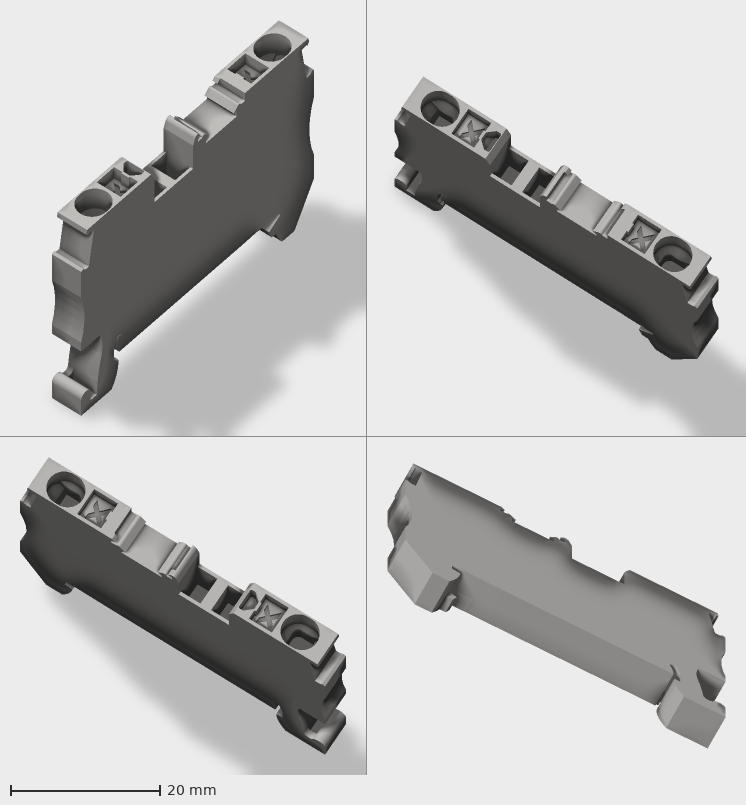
import cadquery as cq
import math

THICKNESS = 5.15
LENGTH = 48.6
HEIGHT = 35.25

HALF_X = THICKNESS / 2
END_Y = LENGTH / 2

LIP_Y = END_Y - 1.2
LIP_BULGE_Y = LIP_Y + 0.15
LIP_BULGE_Z = HEIGHT - 0.85
LIP_TIP_Y = LIP_Y - 0.25
LIP_TIP_Z = HEIGHT - 1.3
LIP_ROOT_Y = LIP_Y - 0.45
LIP_ROOT_Z = HEIGHT - 1.0
NECK_TOP_Y = END_Y - 2.62
NECK_TOP_Z = HEIGHT - 1.15
NECK_FOOT_Y = END_Y - 1.6
SHOULDER_Z = 27.8
SHOULDER_INNER_Y = END_Y - 1.2
SHOULDER_MID_Y = END_Y - 0.8
SHOULDER_MID_Z = SHOULDER_Z + 0.1
SHOULDER_TIP_Y = END_Y - 0.45
SHOULDER_TIP_Z = SHOULDER_Z + 0.5
SHOULDER_EDGE_Z = SHOULDER_Z + 0.25
GRIP_TOP_Z = 23.0

GROOVE_STEP_Z = HEIGHT - 1.5
GROOVE_WALL_Y = 9.85
GROOVE_FLOOR_Z = 32.1
GROOVE_LEFT_Y = 8.1
GROOVE_RIGHT_Y = 1.75
TOOTH_TOP_Z = GROOVE_STEP_Z + 0.35
TOOTH_TIP_Z = GROOVE_STEP_Z - 0.6
TOOTH_REACH = 0.6
LEFT_TOOTH_BACK_Y = GROOVE_LEFT_Y + 0.9
LEFT_TOOTH_CROWN_START = (GROOVE_LEFT_Y + 0.75, TOOTH_TOP_Z - 0.1)
LEFT_TOOTH_CROWN = (GROOVE_LEFT_Y + 0.5, TOOTH_TOP_Z)
LEFT_TOOTH_CROWN_END = (GROOVE_LEFT_Y + 0.25, TOOTH_TOP_Z - 0.1)
RIGHT_TOOTH_CROWN_START = (GROOVE_RIGHT_Y - 0.25, TOOTH_TOP_Z - 0.05)
RIGHT_TOOTH_CROWN = (GROOVE_RIGHT_Y - 0.55, TOOTH_TOP_Z)
RIGHT_TOOTH_BACK_Y = GROOVE_RIGHT_Y - 0.8
RIDGE_WALL_Y = 0.1
CATCH_Z = HEIGHT - 0.6
CATCH_REACH = 0.65
CATCH_TOP_REACH = 0.2
CATCH_WIDTH = 0.87

CHANNEL_FAR_Y = -0.95
CHANNEL_NEAR_Y = -9.0
CHANNEL_FLOOR_Z = 29.25
CHANNEL_FLARE = 0.75

RIDGE_TOP_Y = -0.15
RIDGE_ROLL_MID = (-0.4, HEIGHT - 0.15)
RIDGE_ROLL_END = (-0.6, HEIGHT - 0.45)

NEAR_GRIP_MID = (-END_Y + 0.7, 18.65)
NEAR_GRIP_BOTTOM_Z = 14.3
FAR_GRIP_MID = (END_Y - 1.0, 17.2)
FAR_GRIP_BOTTOM_Z = 11.4

STEP_Z = 12.55
LATCH_ROOT_Y = -20.15
FLANK_UPPER_MID = (-19.9, 10.5)
FLANK_JOINT = (-20.0, 8.6)
FLANK_LOWER_MID = (-20.55, 6.1)
VALLEY_START = (-20.9, 3.75)
VALLEY_BOTTOM = (-21.65, 3.0)
VALLEY_END = (-22.4, 3.45)
HOOK_TOP = (-23.45, 4.0)
HOOK_END_Z = 3.0
HOOK_WEB = 0.95
HOOK_POCKET_Z = 1.45
HOOK_POCKET_INNER_Y = -21.05
LATCH_TOE_Y = -18.0
LEAD_IN_MID = (-16.9, 2.1)
LATCH_NOSE = (-16.5, 4.65)

SLOT_OUTER_Y = -17.5
SLOT_BEND_Z = 6.6
SLOT_OUTER_MID = (-17.3, 7.82)
SLOT_OUTER_TOP = (-16.85, 9.0)
SLOT_CROWN = (-16.35, 9.25)
SLOT_INNER_TOP = (-15.8, 8.85)
SLOT_INNER_MID = (-16.25, 7.5)
SLOT_MOUTH_Y = -16.4

BASE_Z = 6.08
RELIEF_START_Y = 9.5
RELIEF_END_Y = 15.75
RELIEF_Z = BASE_Z + 0.17
FOOT_INNER_Y = 17.2
FOOT_LEDGE_Z = 4.85
FOOT_NOSE = (15.95, 4.6)
FOOT_CURVE_MID = (16.48, 2.35)
FOOT_TOE_INNER_Y = 17.6
FOOT_TOE_OUTER_Y = 20.15
FOOT_BEVEL_Z = 7.05

BACK_LAYER_X = 0.5
PAD_START_Y = 12.45
PAD_END_Y = 15.15
PAD_OVERLAP = 0.5
TONGUE_OUTLINE = [
    (FOOT_INNER_Y, 5.55),
    (14.85, 4.05),
    (15.45, 2.6),
    (16.45, 2.6),
    (16.75, 4.35),
    (FOOT_INNER_Y, 4.35),
]
SLOT_FILLER_OUTLINE = [
    (-15.7, 8.85),
    (-16.35, 9.2),
    (-16.75, 9.0),
    (-16.8, 6.7),
    (-16.3, 6.5),
    (-15.7, 6.5),
]
LATCH_WEDGE_OUTLINE = [
    (-17.6, 5.85),
    (-17.4, 5.25),
    (-16.95, 4.95),
    (-16.95, 4.55),
    (-17.6, 4.55),
]

ENTRY_RADIUS = 2.4
ENTRY_CENTRE_Y = 18.65
ENTRY_LENGTH = 5.35
MOUTH_DEPTH = 3.9
CONE_DEPTH = 1.95
CONE_INSET = 1.35
THROAT_DEPTH = 7.8
THROAT_LEFT_X = -1.3
THROAT_RIGHT_X = 1.7
THROAT_INNER_Y = 16.9
THROAT_OUTER_Y = 20.0
THROAT_FLOOR_Y = 19.65
THROAT_CORNER = 0.95

POCKET_WIDTH = 4.2
ACTUATOR_FAR_INNER_Y = 11.7
ACTUATOR_NEAR_INNER_Y = 11.85
ACTUATOR_OUTER_Y = 15.5
CROSS_CENTRE_Y = 13.6
ACTUATOR_DEPTH = 2.2
NIB_HALF_WIDTH = 0.7
NIB_REACH = 0.25
CROSS_HALF_WIDTH = 1.65
CROSS_HALF_LENGTH = 1.1
CROSS_ARM = 1.0
CROSS_WAIST = 0.5
CROSS_NOTCH = 0.55
CROSS_DEPTH = 0.5

BRIDGE_POCKET_LENGTH = 3.15
BRIDGE_POCKET_DEPTH = 7.3

PROBE_TOP_Y = -9.8
PROBE_SHOULDER_Y = -10.6
PROBE_RAMP_Y = -10.9
PROBE_TIP_Y = -11.7
PROBE_HALF_WIDTH = 1.55
PROBE_TIP_HALF_WIDTH = 0.6
PROBE_CORNER = 0.25
PROBE_DEPTH = 2.9
PROBE_RAMP_DEPTH = 1.95


def plate(outline, left_x, right_x):
    """Extrude a closed (Y, Z) outline from left_x to right_x."""
    return outline.close().extrude(right_x - left_x).translate((left_x, 0, 0))


def yz_polygon(points, left_x, right_x):
    return plate(cq.Workplane("YZ").polyline(points), left_x, right_x)


def extrude_down(outline, top_z, depth):
    """Extrude a closed (X, Y) wire sketch down from top_z."""
    return outline.extrude(-depth).translate((0, 0, top_z))


def box_between(x0, x1, y0, y1, z0, z1):
    return cq.Workplane("XY").box(x1 - x0, y1 - y0, z1 - z0, centered=False).translate((x0, y0, z0))


def body():
    """Full-thickness housing with its foot (+Y) and its spring latch (-Y)."""
    outline = (
        cq.Workplane("YZ")
        .moveTo(LIP_Y, HEIGHT)
        .lineTo(GROOVE_WALL_Y, HEIGHT)
        .lineTo(GROOVE_WALL_Y, GROOVE_STEP_Z)
        .lineTo(LEFT_TOOTH_BACK_Y, GROOVE_STEP_Z)
        .lineTo(*LEFT_TOOTH_CROWN_START)
        .threePointArc(LEFT_TOOTH_CROWN, LEFT_TOOTH_CROWN_END)
        .lineTo(GROOVE_LEFT_Y - TOOTH_REACH, TOOTH_TIP_Z)
        .lineTo(GROOVE_LEFT_Y, TOOTH_TIP_Z)
        .lineTo(GROOVE_LEFT_Y, GROOVE_FLOOR_Z)
        .lineTo(GROOVE_RIGHT_Y, GROOVE_FLOOR_Z)
        .lineTo(GROOVE_RIGHT_Y, TOOTH_TIP_Z)
        .lineTo(GROOVE_RIGHT_Y + TOOTH_REACH, TOOTH_TIP_Z)
        .lineTo(*RIGHT_TOOTH_CROWN_START)
        .threePointArc(RIGHT_TOOTH_CROWN, (RIGHT_TOOTH_BACK_Y, GROOVE_STEP_Z))
        .lineTo(RIDGE_WALL_Y, GROOVE_STEP_Z)
        .lineTo(RIDGE_WALL_Y, HEIGHT)
        .lineTo(RIDGE_TOP_Y, HEIGHT)
        .threePointArc(RIDGE_ROLL_MID, RIDGE_ROLL_END)
        .lineTo(CHANNEL_FAR_Y, GROOVE_STEP_Z)
        .lineTo(CHANNEL_FAR_Y, CHANNEL_FLOOR_Z)
        .lineTo(CHANNEL_NEAR_Y, CHANNEL_FLOOR_Z)
        .lineTo(CHANNEL_NEAR_Y, GROOVE_STEP_Z)
        .lineTo(CHANNEL_NEAR_Y - CHANNEL_FLARE, HEIGHT)
        .lineTo(-LIP_Y, HEIGHT)
        .lineTo(-LIP_BULGE_Y, LIP_BULGE_Z)
        .lineTo(-LIP_TIP_Y, LIP_TIP_Z)
        .lineTo(-LIP_ROOT_Y, LIP_ROOT_Z)
        .lineTo(-NECK_TOP_Y, NECK_TOP_Z)
        .lineTo(-NECK_FOOT_Y, SHOULDER_Z)
        .lineTo(-SHOULDER_INNER_Y, SHOULDER_Z)
        .threePointArc((-SHOULDER_MID_Y, SHOULDER_MID_Z), (-SHOULDER_TIP_Y, SHOULDER_TIP_Z))
        .lineTo(-END_Y, SHOULDER_EDGE_Z)
        .lineTo(-END_Y, GRIP_TOP_Z)
        .threePointArc(NEAR_GRIP_MID, (-END_Y, NEAR_GRIP_BOTTOM_Z))
        .lineTo(-END_Y, STEP_Z)
        .lineTo(LATCH_ROOT_Y, STEP_Z)
        .threePointArc(FLANK_UPPER_MID, FLANK_JOINT)
        .threePointArc(FLANK_LOWER_MID, VALLEY_START)
        .threePointArc(VALLEY_BOTTOM, VALLEY_END)
        .threePointArc(HOOK_TOP, (-END_Y, HOOK_END_Z))
        .lineTo(-END_Y, 0)
        .lineTo(LATCH_TOE_Y, 0)
        .threePointArc(LEAD_IN_MID, LATCH_NOSE)
        .lineTo(SLOT_OUTER_Y, LATCH_NOSE[1])
        .lineTo(SLOT_OUTER_Y, SLOT_BEND_Z)
        .threePointArc(SLOT_OUTER_MID, SLOT_OUTER_TOP)
        .threePointArc(SLOT_CROWN, SLOT_INNER_TOP)
        .threePointArc(SLOT_INNER_MID, (SLOT_MOUTH_Y, BASE_Z))
        .lineTo(RELIEF_START_Y, BASE_Z)
        .lineTo(RELIEF_END_Y, RELIEF_Z)
        .lineTo(RELIEF_END_Y, BASE_Z)
        .lineTo(FOOT_INNER_Y, BASE_Z)
        .lineTo(FOOT_INNER_Y, FOOT_LEDGE_Z)
        .lineTo(*FOOT_NOSE)
        .threePointArc(FOOT_CURVE_MID, (FOOT_TOE_INNER_Y, 0))
        .lineTo(FOOT_TOE_OUTER_Y, 0)
        .lineTo(END_Y, FOOT_BEVEL_Z)
        .lineTo(END_Y, FAR_GRIP_BOTTOM_Z)
        .threePointArc(FAR_GRIP_MID, (END_Y, GRIP_TOP_Z))
        .lineTo(END_Y, SHOULDER_EDGE_Z)
        .lineTo(SHOULDER_TIP_Y, SHOULDER_TIP_Z)
        .threePointArc((SHOULDER_MID_Y, SHOULDER_MID_Z), (SHOULDER_INNER_Y, SHOULDER_Z))
        .lineTo(NECK_FOOT_Y, SHOULDER_Z)
        .lineTo(NECK_TOP_Y, NECK_TOP_Z)
        .lineTo(LIP_ROOT_Y, LIP_ROOT_Z)
        .lineTo(LIP_TIP_Y, LIP_TIP_Z)
        .lineTo(LIP_BULGE_Y, LIP_BULGE_Z)
    )
    return plate(outline, -HALF_X, HALF_X)


def marker_catches():
    """Short catches at the -X end of both upper marker-groove walls."""
    catches = []
    for wall_y, direction in ((GROOVE_WALL_Y, -1), (RIDGE_WALL_Y, 1)):
        points = [
            (wall_y, CATCH_Z),
            (wall_y + direction * CATCH_REACH, CATCH_Z),
            (wall_y + direction * CATCH_TOP_REACH, HEIGHT),
            (wall_y, HEIGHT),
        ]
        catches.append(yz_polygon(points, -HALF_X, -HALF_X + CATCH_WIDTH))
    return catches


def back_layer():
    """Parts set back from the -X face: rail tongue, slot filler, seat pad and latch wedge."""
    pad = [
        (PAD_END_Y, BASE_Z),
        (PAD_END_Y, BASE_Z + PAD_OVERLAP),
        (PAD_START_Y, BASE_Z + PAD_OVERLAP),
        (PAD_START_Y, BASE_Z),
    ]
    outlines = (TONGUE_OUTLINE, SLOT_FILLER_OUTLINE, pad, LATCH_WEDGE_OUTLINE)
    return [yz_polygon(points, BACK_LAYER_X, HALF_X) for points in outlines]


def entry_oval(depth, taper=0):
    """Oval of the +Y wire entry, extruded down from Z = 0."""
    oval = cq.Workplane("XY").center(0, ENTRY_CENTRE_Y).slot2D(ENTRY_LENGTH, 2 * ENTRY_RADIUS, 90)
    return oval.extrude(-depth, taper=taper)


def wire_entry():
    """Wire entry at the +Y end: oval mouth, cone and throat, cut down from the top."""
    mouth = entry_oval(MOUTH_DEPTH)
    cone_bottom = -MOUTH_DEPTH - CONE_DEPTH
    cone_angle = math.degrees(math.atan2(CONE_INSET, CONE_DEPTH))
    cone = entry_oval(CONE_DEPTH, cone_angle).translate((0, 0, -MOUTH_DEPTH))
    outer_y = ENTRY_CENTRE_Y + ENTRY_LENGTH / 2
    throat = yz_polygon(
        [
            (THROAT_INNER_Y, -MOUTH_DEPTH),
            (outer_y, -MOUTH_DEPTH),
            (THROAT_OUTER_Y, cone_bottom),
            (THROAT_FLOOR_Y, -THROAT_DEPTH),
            (THROAT_INNER_Y, -THROAT_DEPTH),
        ],
        THROAT_LEFT_X,
        THROAT_RIGHT_X,
    )
    throat = throat.edges("|Z and <Y").fillet(THROAT_CORNER).intersect(entry_oval(THROAT_DEPTH))
    return mouth.union(cone).union(throat).translate((0, 0, HEIGHT))


def actuator_pocket(inner_y):
    """Square pocket at +Y, from inner_y out, with a nib on its inner wall and a sunken cross."""
    half = POCKET_WIDTH / 2
    floor_z = HEIGHT - ACTUATOR_DEPTH
    pocket = box_between(-half, half, inner_y, ACTUATOR_OUTER_Y, floor_z, HEIGHT)
    nib = box_between(-NIB_HALF_WIDTH, NIB_HALF_WIDTH, inner_y, inner_y + NIB_REACH, floor_z, HEIGHT)
    w = CROSS_HALF_WIDTH
    h = CROSS_HALF_LENGTH
    arm_x = w - CROSS_ARM
    corners = [
        (-w, h), (-arm_x, h), (0, CROSS_NOTCH), (arm_x, h), (w, h), (CROSS_WAIST, 0),
        (w, -h), (arm_x, -h), (0, -CROSS_NOTCH), (-arm_x, -h), (-w, -h), (-CROSS_WAIST, 0),
    ]
    cross = cq.Workplane("XY").polyline(corners).close()
    return pocket.cut(nib).union(extrude_down(cross, floor_z, CROSS_DEPTH).translate((0, CROSS_CENTRE_Y, 0)))


def bridge_pockets():
    half = POCKET_WIDTH / 2
    bottom = CHANNEL_FLOOR_Z - BRIDGE_POCKET_DEPTH
    starts = (CHANNEL_FAR_Y - BRIDGE_POCKET_LENGTH, CHANNEL_NEAR_Y)
    return [
        box_between(-half, half, y, y + BRIDGE_POCKET_LENGTH, bottom, CHANNEL_FLOOR_Z) for y in starts
    ]


def probe_hole():
    """Funnel-shaped hole whose narrow end ramps inward near the floor."""
    outline = [
        (-PROBE_HALF_WIDTH, PROBE_TOP_Y),
        (PROBE_HALF_WIDTH, PROBE_TOP_Y),
        (PROBE_HALF_WIDTH, PROBE_SHOULDER_Y),
        (PROBE_TIP_HALF_WIDTH, PROBE_TIP_Y),
        (-PROBE_TIP_HALF_WIDTH, PROBE_TIP_Y),
        (-PROBE_HALF_WIDTH, PROBE_SHOULDER_Y),
    ]
    hole = extrude_down(cq.Workplane("XY").polyline(outline).close(), HEIGHT, PROBE_DEPTH)
    hole = hole.edges("|Z").fillet(PROBE_CORNER)
    floor_z = HEIGHT - PROBE_DEPTH
    ramp_top_z = HEIGHT - PROBE_RAMP_DEPTH
    ramp_outline = [(PROBE_TIP_Y, ramp_top_z), (PROBE_RAMP_Y, floor_z), (PROBE_TIP_Y, floor_z)]
    ramp = yz_polygon(ramp_outline, -HALF_X, HALF_X)
    return hole.cut(ramp)


def hook_pocket():
    """Deepens the valley behind the release hook, leaving a web on the -X side."""
    outline = [
        VALLEY_START,
        (HOOK_POCKET_INNER_Y, HOOK_POCKET_Z),
        (VALLEY_END[0], HOOK_POCKET_Z),
        VALLEY_END,
    ]
    return yz_polygon(outline, -HALF_X + HOOK_WEB, HALF_X)


part = body()
for piece in marker_catches() + back_layer():
    part = part.union(piece)
entry = wire_entry()
cutters = [
    entry,
    entry.mirror("XZ"),
    actuator_pocket(ACTUATOR_FAR_INNER_Y),
    actuator_pocket(ACTUATOR_NEAR_INNER_Y).mirror("XZ"),
    probe_hole(),
    hook_pocket(),
]
for cutter in cutters + bridge_pockets():
    part = part.cut(cutter)

result = part